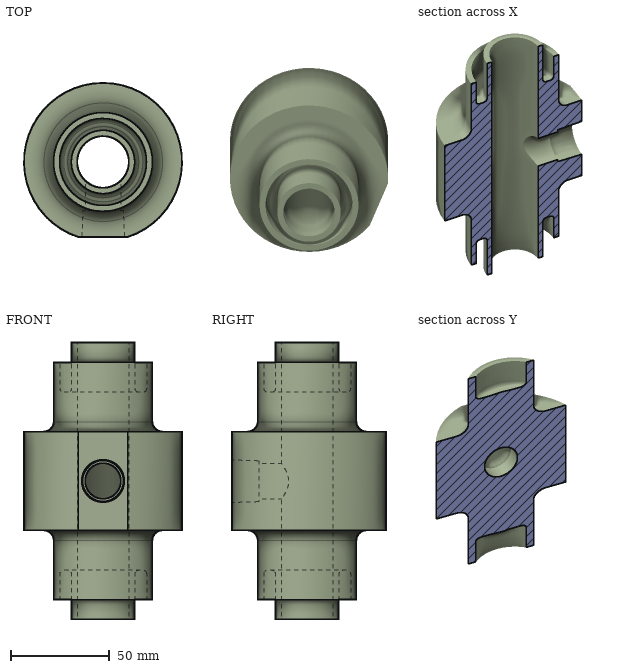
import cadquery as cq

body_diameter = 80.0
body_height = 50.0
flat_distance = 38.0

overall_height = 140.0
bore_diameter = 26.0
inner_pipe_diameter = 32.0
outer_pipe_diameter = 50.0
outer_pipe_wall = 3.0
inner_pipe_projection = 10.0
root_fillet = 5.0

gap_floor_height = 45.0
gap_fillet = 2.0

port_mouth_diameter = 21.5
port_taper = 1 / 16
port_taper_depth = 13.6
port_hole_diameter = 18.0

body_radius = body_diameter / 2
body_half_height = body_height / 2
half_height = overall_height / 2
bore_radius = bore_diameter / 2
inner_pipe_radius = inner_pipe_diameter / 2
outer_pipe_radius = outer_pipe_diameter / 2
gap_radius = outer_pipe_radius - outer_pipe_wall
rim_height = half_height - inner_pipe_projection
port_taper_end_diameter = port_mouth_diameter - port_taper * port_taper_depth


def make_body():
    """Cylinder centred on the origin, cut back to the flat."""
    body = cq.Workplane("XY").circle(body_radius).extrude(body_half_height, both=True)
    beyond_flat = (
        cq.Workplane("XY")
        .box(body_diameter, body_diameter, body_height)
        .translate((0, -flat_distance - body_radius, 0))
    )
    return body.cut(beyond_flat)


def make_outer_pipe():
    """Solid outer pipe above the mid-plane, flared by the root fillet where it meets the body."""
    fillet_top = body_half_height + root_fillet
    flare_radius = outer_pipe_radius + root_fillet
    return (
        cq.Workplane("XZ")
        .lineTo(flare_radius, 0)
        .lineTo(flare_radius, body_half_height)
        .radiusArc((outer_pipe_radius, fillet_top), root_fillet)
        .lineTo(outer_pipe_radius, rim_height)
        .lineTo(0, rim_height)
        .close()
        .revolve(360, (0, 0), (0, 1))
    )


def make_gap():
    """Annular gap from the rim down to a floor with rounded corners."""
    gap = (
        cq.Workplane("XY")
        .workplane(offset=gap_floor_height)
        .circle(gap_radius)
        .circle(inner_pipe_radius)
        .extrude(rim_height - gap_floor_height)
    )
    return gap.faces("<Z").edges().fillet(gap_fillet)


def make_side_port():
    """Tapered mouth in the flat and a coaxial hole that reaches the bore axis."""
    mouth_y = -flat_distance
    shoulder_y = mouth_y + port_taper_depth
    return (
        cq.Workplane("YZ")
        .moveTo(mouth_y, 0)
        .lineTo(mouth_y, -port_mouth_diameter / 2)
        .lineTo(shoulder_y, -port_taper_end_diameter / 2)
        .lineTo(shoulder_y, -port_hole_diameter / 2)
        .lineTo(0, -port_hole_diameter / 2)
        .lineTo(0, 0)
        .close()
        .revolve(360, (0, 0), (1, 0))
    )


def on_both_ends(upper):
    """Join a shape above the mid-plane with its mirror image below."""
    return upper.union(upper.mirror("XY"))


inner_pipe = cq.Workplane("XY").circle(inner_pipe_radius).extrude(half_height, both=True)
bore = cq.Workplane("XY").circle(bore_radius).extrude(half_height, both=True)

result = (
    make_body()
    .union(on_both_ends(make_outer_pipe()))
    .cut(on_both_ends(make_gap()))
    .union(inner_pipe)
    .cut(bore)
    .cut(make_side_port())
)